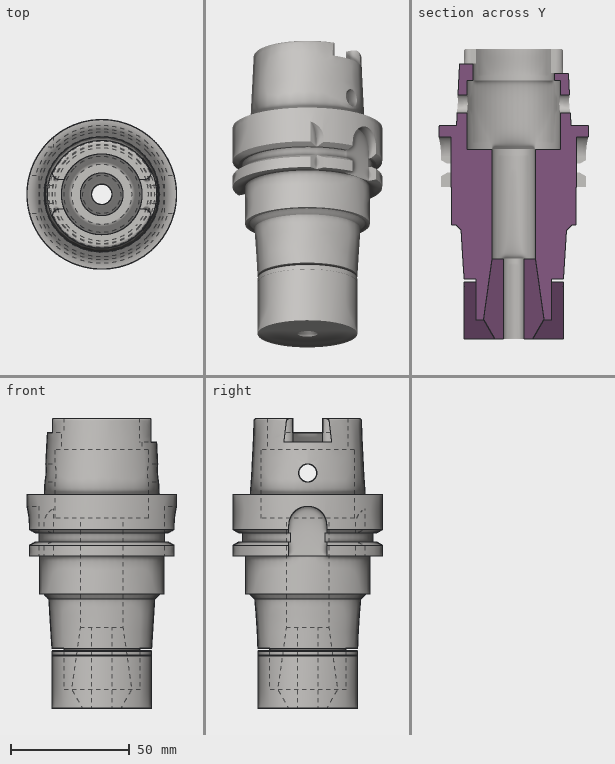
import cadquery as cq
import math


shank_height = 32.0
shank_base_radius = 24.2
shank_taper = 1.0 / 20.0
shank_rim_fillet = 1.2
bore_radius = 17.0
bore_depth = 13.2
undercut_radius = 19.6
cavity_floor_z = -10.0
through_bore_radius = 9.0

drive_slot_half_width = 6.25
drive_slot_land = 20.8
drive_slot_corner = 3.0
near_slot_depth = 6.0
far_slot_depth = 10.0

cross_hole_diameter = 7.5
cross_hole_z = 9.0

flange_radius = 31.5
flange_bottom_z = -26.0
groove_center_z = -18.1
groove_width = 3.8
groove_radius = 27.5
groove_chamfer_height = 1.45
groove_chamfer_depth = 2.5

keyway_half_width = 8.0
keyway_arc_z = -13.0
keyway_floor = 26.5
notch_center_y = 28.0
notch_floor = 20.4

body_radius = 26.25
body_bottom_z = -42.0
body_step_radius = 24.4
cone_top_radius = 22.3
cone_top_z = body_bottom_z - (body_step_radius - cone_top_radius)
cone_bottom_radius = 21.0
cone_bottom_z = -64.8
nose_radius = 16.0
nose_bottom_z = -82.0

nut_radius = 21.0
nut_top_z = -65.7
nut_bottom_z = -90.0
nut_edge_chamfer = 0.3
nut_line_z = -67.8
nut_line_width = 0.3
nut_line_depth = 0.15

collet_top_z = -56.0
collet_bore_radius = 4.25
collet_top_radius = through_bore_radius
collet_half_angle = 8.0
collet_front_angle = 30.0
collet_seat_length = collet_top_z - nose_bottom_z
collet_front_length = nose_bottom_z - nut_bottom_z
collet_mid_radius = collet_top_radius + collet_seat_length * math.tan(math.radians(collet_half_angle))
collet_front_radius = collet_mid_radius - collet_front_length * math.tan(math.radians(collet_front_angle))


def revolve_profile(points):
    """Turn a closed radius/height outline around the Z axis."""
    return cq.Workplane("XZ").polyline(points).close().revolve(360, (0, 0, 0), (0, 1, 0))


def shank_blank():
    top_radius = shank_base_radius - shank_height * shank_taper
    shank = revolve_profile([
        (0, 0),
        (shank_base_radius, 0),
        (top_radius, shank_height),
        (0, shank_height),
    ])
    return shank.faces(">Z").edges().fillet(shank_rim_fillet)


def chuck_blank():
    """Flange with its gripper groove, then the chuck body, cone and threaded nose."""
    groove_top = groove_center_z + groove_width / 2
    groove_bottom = groove_center_z - groove_width / 2
    lip_radius = flange_radius - groove_chamfer_depth
    return revolve_profile([
        (0, 0),
        (flange_radius, 0),
        (flange_radius, groove_top + groove_chamfer_height),
        (lip_radius, groove_top),
        (groove_radius, groove_top),
        (groove_radius, groove_bottom),
        (lip_radius, groove_bottom),
        (flange_radius, groove_bottom - groove_chamfer_height),
        (flange_radius, flange_bottom_z),
        (body_radius, flange_bottom_z),
        (body_radius, body_bottom_z),
        (body_step_radius, body_bottom_z),
        (cone_top_radius, cone_top_z),
        (cone_bottom_radius, cone_bottom_z),
        (nose_radius, cone_bottom_z),
        (nose_radius, nose_bottom_z),
        (0, nose_bottom_z),
    ])


def holder_cavity():
    """Clamping bore with its undercut, the through bore and the tapered collet seat."""
    bore_end_z = shank_height - bore_depth
    return revolve_profile([
        (0, shank_height),
        (bore_radius, shank_height),
        (bore_radius, bore_end_z),
        (undercut_radius, bore_end_z),
        (undercut_radius, cavity_floor_z),
        (through_bore_radius, cavity_floor_z),
        (collet_top_radius, collet_top_z),
        (collet_mid_radius, nose_bottom_z),
        (0, nose_bottom_z),
    ])


def drive_slot(side, depth):
    """Rim slot on one X side; its corners round over into flat faces beside the slot."""
    inner_x = drive_slot_land - drive_slot_corner
    outer_y = drive_slot_half_width + drive_slot_corner
    reach = flange_radius
    half = (
        cq.Workplane("XY")
        .workplane(offset=shank_height - depth)
        .lineTo(reach, 0)
        .lineTo(reach, reach)
        .lineTo(drive_slot_land, reach)
        .lineTo(drive_slot_land, outer_y)
        .radiusArc((inner_x, drive_slot_half_width), drive_slot_corner)
        .lineTo(0, drive_slot_half_width)
        .close()
        .extrude(depth)
    )
    slot = half.union(half.mirror("XZ"))
    return slot if side > 0 else slot.mirror("YZ")


def round_top_slot(center_y, floor, side):
    """Flange slot cut along X from one side down to its floor, with a round upper end."""
    slot = (
        cq.Workplane("YZ")
        .workplane(offset=floor)
        .moveTo(center_y - keyway_half_width, flange_bottom_z)
        .lineTo(center_y - keyway_half_width, keyway_arc_z)
        .threePointArc(
            (center_y, keyway_arc_z + keyway_half_width),
            (center_y + keyway_half_width, keyway_arc_z),
        )
        .lineTo(center_y + keyway_half_width, flange_bottom_z)
        .close()
        .extrude(flange_radius - floor)
    )
    return slot if side > 0 else slot.mirror("YZ")


def make_holder():
    cross_hole = (
        cq.Workplane("YZ")
        .center(0, cross_hole_z)
        .circle(cross_hole_diameter / 2)
        .extrude(shank_base_radius, both=True)
    )
    holder = shank_blank().union(chuck_blank()).cut(holder_cavity()).cut(cross_hole)
    for side, depth in ((-1, near_slot_depth), (1, far_slot_depth)):
        holder = holder.cut(drive_slot(side, depth))
        holder = holder.cut(round_top_slot(0, keyway_floor, side))
    return holder.cut(round_top_slot(notch_center_y, notch_floor, -1))


def make_collet():
    return revolve_profile([
        (collet_bore_radius, collet_top_z),
        (collet_top_radius, collet_top_z),
        (collet_mid_radius, nose_bottom_z),
        (collet_front_radius, nut_bottom_z),
        (collet_bore_radius, nut_bottom_z),
    ])


def make_nut():
    line_top = nut_line_z + nut_line_width / 2
    line_bottom = nut_line_z - nut_line_width / 2
    line_radius = nut_radius - nut_line_depth
    return revolve_profile([
        (nose_radius, nut_top_z),
        (nut_radius - nut_edge_chamfer, nut_top_z),
        (nut_radius, nut_top_z - nut_edge_chamfer),
        (nut_radius, line_top),
        (line_radius, line_top),
        (line_radius, line_bottom),
        (nut_radius, line_bottom),
        (nut_radius, nut_bottom_z),
        (collet_front_radius, nut_bottom_z),
        (collet_mid_radius, nose_bottom_z),
        (nose_radius, nose_bottom_z),
    ])


holder = make_holder()
collet = make_collet()
nut = make_nut()

result = cq.Compound.makeCompound([holder.val(), collet.val(), nut.val()])